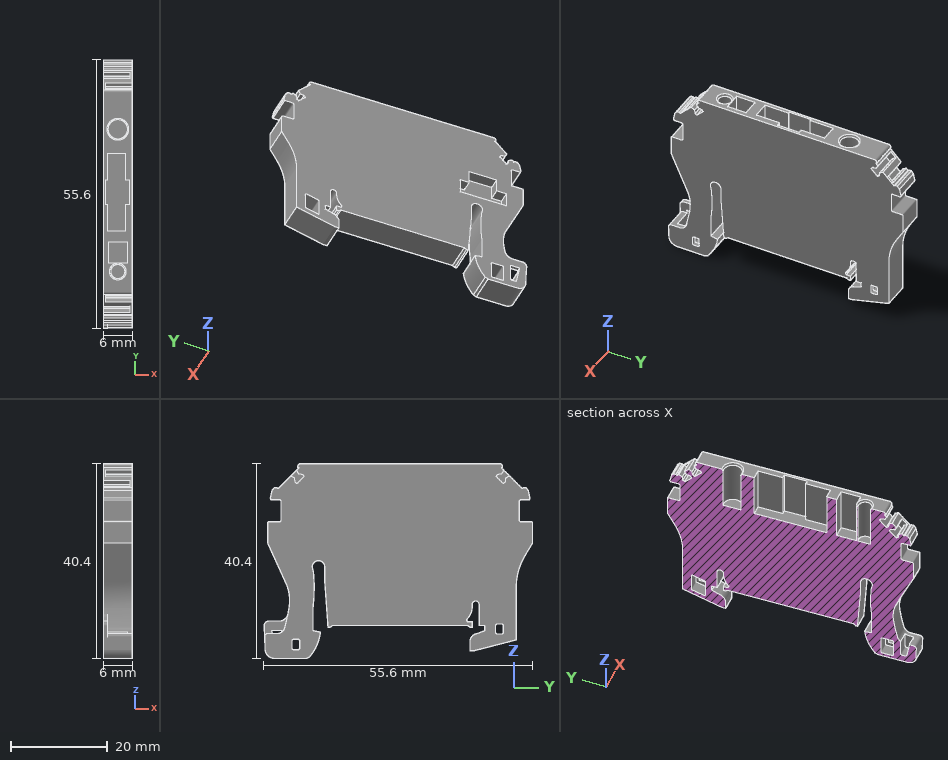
import cadquery as cq
import math


thickness = 6.0
top_z = 33.55
rail_seat_z = 0.0
shoulder_half = 27.43
shoulder_top_z = 21.55
shoulder_bottom_z = 17.1

lip_half = 21.2
lip_undercut = 0.25
lip_height = 0.75
lip_round = 0.55
slope_sum = 53.68
flank_foot_z = 28.42
bead_top_z = 28.6
bead_tip_half = 26.9
bead_tip_z = 26.4
bead_crest_half = (25.5, 26.05)
neck_half = 24.67
neck_top_z = 26.05
small_round = 0.3

outer_groove_half = 24.25
groove_pitch_y = 2.19
groove_mouth = 1.7
groove_waist = 1.2
groove_waist_depth = 0.85
groove_shoulder_depth = 1.55
groove_shoulder = 2.25
groove_floor = 2.1
groove_depth = 2.05
groove_end_wall = 0.5

fixed_outer_y = 24.05
fixed_tip_y = 14.45
fixed_tip_bottom_z = -5.2
fixed_slot_near_y = 16.33
fixed_slot_far_y = 14.95
fixed_slot_radius = (fixed_slot_near_y - fixed_slot_far_y) / 2
fixed_slot_top_z = 5.1
fixed_outer_corner_z = -2.9
hook_root_y = 17.5
hook_root_z = -1.0
hook_face_top_z = -2.95
catch_tip_y = 13.75
catch_floor_z = 0.85
rail_ridge_z = -0.35
rail_seat_half = 14.0
rail_ridge_half = 14.5

spring_bottom_z = -6.8
spring_end_y = -28.18
leg_slot_center_y = -16.9
leg_slot_radius = 1.26
leg_slot_top_z = 13.45
leg_slot_flare_z = 9.4
leg_inner_y = -18.0
spring_top_z = 1.0
spring_top_inner_y = -24.75
leg_bend_y = -23.05
leg_bend_z = 3.6
lower_bend_y = -23.22
lower_bend_z = 2.6
toe_z = -1.3
toe_y = -16.45
spring_bottom_y = (-26.1, -19.4)
spring_end_corner_z = -5.1

cheek_thickness = 0.9
ledge_z = -1.6
ledge_round = 0.7
ledge_inner_y = -25.3
ledge_corner_offset = ledge_round * (1 - math.sqrt(0.5))
ledge_end_y = -28.06
ledge_end_z = ledge_z - ledge_round
cheek_round = 1.05
cheek_corner_offset = cheek_round * (1 - math.sqrt(0.5))

recess_depth = 5.0
marker_recess_depth = 2.5
top_opening_depth = 10.0
hole_rim_depth = 0.5

screw_hole_y = 13.05
screw_hole_diameter = 4.0
screw_rim_diameter = 4.5
test_hole_y = -16.4
test_hole_diameter = 2.9
test_rim_diameter = 3.45
bridge_half_length = 8.05
bridge_x = (0.85, 4.6)
bridge_wide_half_length = 2.55
bridge_wide_x = (0.5, 5.45)
wire_entry_x = (1.05, 4.97)
wire_entry_y = (-14.65, -10.3)

marker_wide_y = (-23.55, -13.1)
marker_narrow_y = (-21.34, -15.12)
marker_bottom_z = 15.43
marker_step_z = 18.8
marker_top_z = 21.84

window_round = 0.2
window_hole_round = 0.3
fixed_window_corners = [(22.04, 1.68), (18.96, 0.84), (18.96, -3.1), (22.04, -2.35)]
fixed_hole_y = (19.77, 21.34)
fixed_hole_z = (-1.7, 0.34)
spring_window_y = (-22.85, -20.16)
spring_window_z = (-5.88, -1.85)
spring_hole_y = (-22.35, -20.8)
spring_hole_z = (-4.93, -2.83)

release_inner_y = -24.53
release_top_outer_y = -26.55
release_bottom_outer_y = -25.8
release_top_z = -1.0
release_bottom_z = -5.05
release_round = 0.4


def side_plane(x):
    """Workplane at the given X whose local axes are Y and Z."""
    return cq.Workplane("YZ", origin=(x, 0, 0))


def prism(points, x_start=0.0, x_end=thickness):
    return side_plane(x_start).polyline(points).close().extrude(x_end - x_start)


def block(x_range, y_range, z_range):
    size = [end - start for start, end in (x_range, y_range, z_range)]
    corner = (x_range[0], y_range[0], z_range[0])
    return cq.Workplane("XY").box(*size, centered=False).translate(corner)


def round_edges(solid, points, radius):
    """Fillet the edges that run along X through the given (Y, Z) points."""
    reach = 0.02
    for y, z in points:
        box = cq.selectors.BoxSelector(
            (-1, y - reach, z - reach), (thickness + 1, y + reach, z + reach)
        )
        solid = solid.edges("|X").edges(box).fillet(radius)
    return solid


def make_head():
    lip_z = top_z - lip_height
    undercut_half = lip_half - lip_undercut
    flank_foot_half = slope_sum - flank_foot_z
    half_outline = [
        (lip_half, top_z),
        (lip_half, lip_z),
        (undercut_half, slope_sum - undercut_half),
        (flank_foot_half, flank_foot_z),
        (bead_crest_half[0], bead_top_z),
        (bead_crest_half[1], bead_top_z),
        (bead_crest_half[1] + 0.5, bead_top_z - 0.6),
        (bead_tip_half, bead_tip_z),
        (bead_tip_half - 0.15, neck_top_z),
        (neck_half, neck_top_z),
        (neck_half, shoulder_top_z),
        (shoulder_half, shoulder_top_z),
        (shoulder_half, shoulder_bottom_z),
    ]
    mirrored = [(-y, z) for y, z in reversed(half_outline)]
    head = prism(half_outline + mirrored)
    rounded = []
    for side in (1, -1):
        rounded.append((side * neck_half, neck_top_z))
        rounded.append((side * neck_half, shoulder_top_z))
        rounded.append((side * shoulder_half, shoulder_top_z))
    head = round_edges(head, [(lip_half, top_z), (-lip_half, top_z)], lip_round)
    return round_edges(head, rounded, small_round)


def make_lower_body():
    fixed_slot_spring_z = fixed_slot_top_z - fixed_slot_radius
    fixed_slot_center_y = (fixed_slot_near_y + fixed_slot_far_y) / 2
    leg_slot_spring_z = leg_slot_top_z - leg_slot_radius
    outline = (
        side_plane(0)
        .moveTo(shoulder_half, shoulder_bottom_z)
        .lineTo(25.75, 14.3)
        .threePointArc((24.5, 11.3), (fixed_outer_y, 8.1))
        .lineTo(fixed_outer_y, fixed_outer_corner_z)
        .lineTo(fixed_outer_y - 0.4, fixed_outer_corner_z - 0.15)
        .lineTo(15.3, fixed_tip_bottom_z)
        .lineTo(fixed_tip_y, fixed_tip_bottom_z)
        .lineTo(fixed_tip_y, hook_face_top_z)
        .threePointArc((14.98, -2.06), (16.0, -1.58))
        .lineTo(hook_root_y, hook_root_z)
        .lineTo(hook_root_y, rail_seat_z)
        .lineTo(fixed_slot_near_y, rail_seat_z)
        .lineTo(fixed_slot_near_y, fixed_slot_spring_z)
        .threePointArc((fixed_slot_center_y, fixed_slot_top_z), (fixed_slot_far_y, fixed_slot_spring_z))
        .lineTo(fixed_slot_far_y, 3.7)
        .threePointArc((14.6, 2.4), (catch_tip_y, catch_floor_z + 0.4))
        .lineTo(catch_tip_y + 0.2, catch_floor_z)
        .lineTo(fixed_slot_far_y, catch_floor_z)
        .lineTo(fixed_slot_far_y, rail_ridge_z)
        .lineTo(rail_ridge_half, rail_ridge_z)
        .lineTo(rail_seat_half, rail_seat_z)
        .lineTo(-rail_seat_half, rail_seat_z)
        .lineTo(-rail_ridge_half, rail_ridge_z)
        .lineTo(-fixed_slot_far_y, rail_ridge_z)
        .lineTo(leg_slot_center_y + leg_slot_radius, leg_slot_flare_z)
        .lineTo(leg_slot_center_y + leg_slot_radius, leg_slot_spring_z)
        .threePointArc(
            (leg_slot_center_y, leg_slot_top_z),
            (leg_slot_center_y - leg_slot_radius, leg_slot_spring_z),
        )
        .lineTo(-17.9, 11.0)
        .threePointArc((-17.75, 7.4), (leg_inner_y, 3.7))
        .lineTo(leg_inner_y, toe_z + 0.3)
        .lineTo(toe_y, toe_z)
        .threePointArc((-17.25, -4.15), (-18.75, -6.5))
        .lineTo(spring_bottom_y[1], spring_bottom_z)
        .lineTo(spring_bottom_y[0], spring_bottom_z)
        .threePointArc((-27.3, -6.3), (-27.97, spring_end_corner_z))
        .lineTo(ledge_end_y, ledge_end_z)
        .threePointArc(
            (ledge_end_y + ledge_corner_offset, ledge_z - ledge_corner_offset),
            (ledge_end_y + ledge_round, ledge_z),
        )
        .lineTo(ledge_inner_y, ledge_z)
        .threePointArc((-24.4, -1.22), (-23.9, -0.4))
        .threePointArc((lower_bend_y, lower_bend_z), (leg_bend_y, leg_bend_z))
        .threePointArc((-22.97, 6.4), (-23.85, 9.2))
        .lineTo(-shoulder_half, shoulder_bottom_z)
        .close()
    )
    return outline.extrude(thickness)


def make_cheek():
    """Thin plate on the X = 0 side that closes the ledge step up to the top of the spring foot."""
    inner_y = spring_top_inner_y + 2.0
    outline = (
        side_plane(0)
        .moveTo(lower_bend_y, lower_bend_z)
        .threePointArc((-23.71, 1.55), (spring_top_inner_y, spring_top_z))
        .lineTo(spring_end_y + cheek_round, spring_top_z)
        .threePointArc(
            (spring_end_y + cheek_corner_offset, spring_top_z - cheek_corner_offset),
            (spring_end_y, spring_top_z - cheek_round),
        )
        .lineTo(ledge_end_y, ledge_end_z)
        .lineTo(inner_y, ledge_end_z)
        .lineTo(inner_y, lower_bend_z)
        .close()
    )
    return outline.extrude(cheek_thickness)


def label_groove(side, half_y, x_start, x_end):
    """Undercut groove running along X, sunk square to the 45 degree flank at |Y| = half_y."""
    surface_z = slope_sum - half_y
    above = 0.3
    levels = [
        (-above, groove_mouth),
        (0.0, groove_mouth),
        (groove_waist_depth, groove_waist),
        (groove_shoulder_depth, groove_shoulder),
        (groove_depth, groove_floor),
    ]
    profile = [(depth, width / 2) for depth, width in levels]
    profile += [(depth, -width / 2) for depth, width in reversed(levels)]
    diagonal = math.sqrt(0.5)
    points = []
    for depth, along in profile:
        y = side * (half_y + (along - depth) * diagonal)
        z = surface_z - (along + depth) * diagonal
        points.append((y, z))
    return prism(points, x_start, x_end)


def cut_label_grooves(body):
    inner_groove_half = outer_groove_half - groove_pitch_y
    for side in (1, -1):
        body = body.cut(label_groove(side, outer_groove_half, 0, thickness - groove_end_wall))
        body = body.cut(label_groove(side, inner_groove_half, groove_end_wall, thickness))
    return body


def top_hole(y, diameter, rim_diameter):
    """Blind round hole in the top face with a conical rim."""
    center = (thickness / 2, y, top_z)
    bore = cq.Workplane("XY", origin=center).circle(diameter / 2).extrude(-top_opening_depth)
    rim = (
        cq.Workplane("XY", origin=center)
        .circle(rim_diameter / 2)
        .workplane(offset=-hole_rim_depth)
        .circle(diameter / 2)
        .loft()
    )
    return bore.union(rim)


def cut_top_openings(body):
    depth_range = (top_z - top_opening_depth, top_z)
    bridge_y = (-bridge_half_length, bridge_half_length)
    bridge_wide_y = (-bridge_wide_half_length, bridge_wide_half_length)
    body = body.cut(top_hole(screw_hole_y, screw_hole_diameter, screw_rim_diameter))
    body = body.cut(top_hole(test_hole_y, test_hole_diameter, test_rim_diameter))
    body = body.cut(block(bridge_x, bridge_y, depth_range))
    body = body.cut(block(bridge_wide_x, bridge_wide_y, depth_range))
    return body.cut(block(wire_entry_x, wire_entry_y, depth_range))


def cut_marker_recess(body):
    """T-shaped shallow recess in the X = 0 face."""
    depth_range = (0, marker_recess_depth)
    wide = block(depth_range, marker_wide_y, (marker_bottom_z, marker_step_z))
    narrow = block(depth_range, marker_narrow_y, (marker_step_z, marker_top_z))
    return body.cut(wide).cut(narrow)


def cut_foot_windows(body):
    """Deep recess in each foot, with a smaller rounded hole through the remaining web."""
    through = (0, thickness)
    fixed_recess = prism(fixed_window_corners, 0, recess_depth)
    fixed_hole = block(through, fixed_hole_y, fixed_hole_z)
    spring_recess = block((0, recess_depth), spring_window_y, spring_window_z)
    spring_hole = block(through, spring_hole_y, spring_hole_z)
    for recess in (fixed_recess, spring_recess):
        body = body.cut(recess.edges("|X").fillet(window_round))
    for hole in (fixed_hole, spring_hole):
        body = body.cut(hole.edges("|X").fillet(window_hole_round))
    return body


def cut_release_slot(body):
    """Tapered screwdriver pocket that breaks out through the ledge."""
    corners = [
        (release_inner_y, release_top_z),
        (release_top_outer_y, release_top_z),
        (release_bottom_outer_y, release_bottom_z),
        (release_inner_y, release_bottom_z),
    ]
    slot = prism(corners, 0, recess_depth).edges("|X").edges("<Z").fillet(release_round)
    return body.cut(slot)


housing = make_head().union(make_lower_body()).union(make_cheek())
housing = cut_label_grooves(housing)
housing = cut_top_openings(housing)
housing = cut_marker_recess(housing)
housing = cut_foot_windows(housing)
result = cut_release_slot(housing)